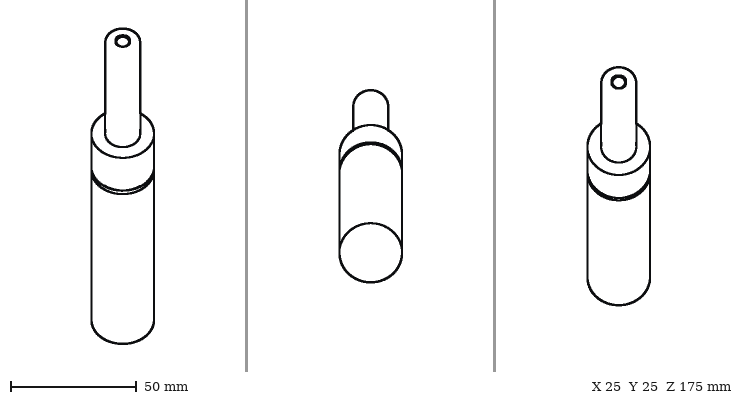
import cadquery as cq
import math

total_length = 175.0
body_diameter = 25.0
body_length = 116.9
rod_diameter = 14.0
rod_end_rounding = 1.0

groove_height = 95.2
groove_depth = 1.0

hole_diameter = 5.0
hole_chamfer = 0.44
hole_depth = 14.0
drill_point_angle = 118.0

body_radius = body_diameter / 2
rod_radius = rod_diameter / 2
hole_radius = hole_diameter / 2
drill_point_depth = hole_radius / math.tan(math.radians(drill_point_angle / 2))
hole_floor = total_length - hole_depth

round_start = (-rod_radius, total_length - rod_end_rounding)
round_end = (-rod_radius + rod_end_rounding, total_length)

half_section = (
    cq.Workplane("XZ")
    .moveTo(0, 0)
    .lineTo(-body_radius, 0)
    .lineTo(-body_radius, groove_height - groove_depth)
    .lineTo(-body_radius + groove_depth, groove_height)
    .lineTo(-body_radius, groove_height + groove_depth)
    .lineTo(-body_radius, body_length)
    .lineTo(-rod_radius, body_length)
    .lineTo(*round_start)
    .tangentArcPoint(round_end, relative=False)
    .lineTo(-hole_radius - hole_chamfer, total_length)
    .lineTo(-hole_radius, total_length - hole_chamfer)
    .lineTo(-hole_radius, hole_floor)
    .lineTo(0, hole_floor - drill_point_depth)
    .close()
)

result = half_section.revolve(360, (0, 0), (0, 1))